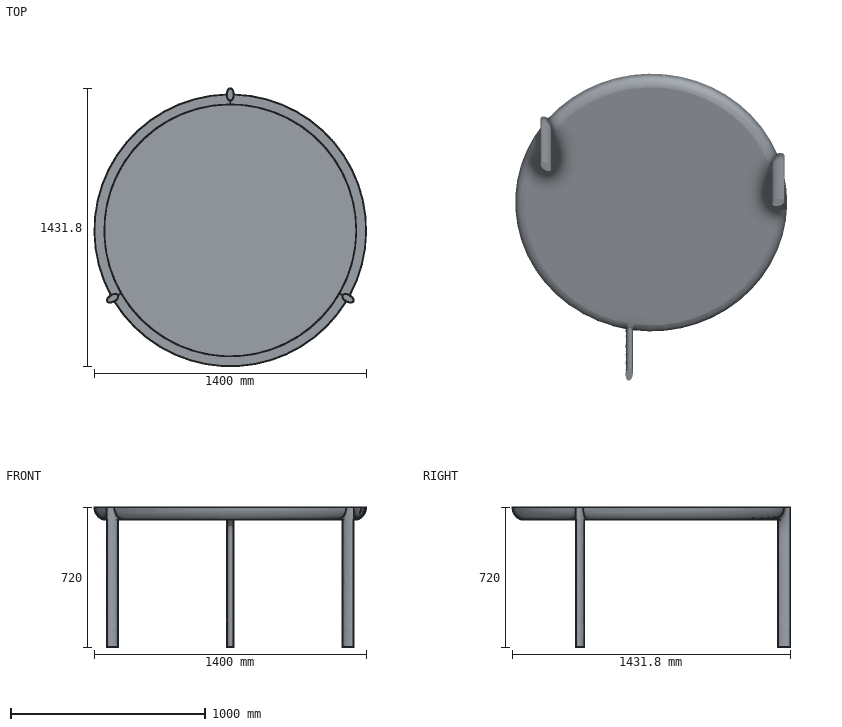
import cadquery as cq
import math

TOP_Z = 720.0
TABLE_RADIUS = 700.0
TABLE_THICKNESS = 65.0
UNDERSIDE_Z = TOP_Z - TABLE_THICKNESS
PANEL_RADIUS = 1296.0 / 2
UNDERSIDE_RADIUS = PANEL_RADIUS

EDGE_OVERHANG = TABLE_RADIUS - UNDERSIDE_RADIUS
EDGE_RADIUS = (EDGE_OVERHANG**2 + TABLE_THICKNESS**2) / (2 * EDGE_OVERHANG)

SEAM_WIDTH = 1.0
SEAM_DEPTH = 1.0

LEG_COUNT = 3
LEG_DEPTH = 63.6
LEG_WIDTH = 35.6
FIRST_LEG_ANGLE = 90.0
LEG_CENTRE_RADIUS = TABLE_RADIUS

BLOCK_WIDTH = 29.0
BLOCK_HEIGHT = TABLE_THICKNESS / 2
BLOCK_INNER_RADIUS = UNDERSIDE_RADIUS


def place_at_leg(shape, index):
    """Turn a shape built along +X to the direction of the numbered leg."""
    angle = FIRST_LEG_ANGLE + index * 360.0 / LEG_COUNT
    return shape.rotate((0, 0, 0), (0, 0, 1), angle)


def make_table_top():
    """Solid disc with an arc from its rim, upright there, in to the flat underside."""
    arc_centre_radius = TABLE_RADIUS - EDGE_RADIUS
    half_sweep = math.asin(TABLE_THICKNESS / EDGE_RADIUS) / 2
    arc_middle = (
        arc_centre_radius + EDGE_RADIUS * math.cos(half_sweep),
        TOP_Z - EDGE_RADIUS * math.sin(half_sweep),
    )
    profile = (
        cq.Workplane("XZ")
        .moveTo(0, UNDERSIDE_Z)
        .lineTo(UNDERSIDE_RADIUS, UNDERSIDE_Z)
        .threePointArc(arc_middle, (TABLE_RADIUS, TOP_Z))
        .lineTo(0, TOP_Z)
        .close()
    )
    return profile.revolve(360, (0, 0, 0), (0, 1, 0))


def make_leg():
    """Upright elliptical leg centred on the table edge, long axis radial."""
    return (
        cq.Workplane("XY")
        .center(LEG_CENTRE_RADIUS, 0)
        .ellipse(LEG_DEPTH / 2, LEG_WIDTH / 2)
        .extrude(TOP_Z)
    )


def make_leg_block():
    """Block between the leg and the underside, level with the underside."""
    length = LEG_CENTRE_RADIUS - BLOCK_INNER_RADIUS
    return (
        cq.Workplane("XY")
        .box(length, BLOCK_WIDTH, BLOCK_HEIGHT, centered=(False, True, False))
        .translate((BLOCK_INNER_RADIUS, 0, UNDERSIDE_Z))
    )


def make_panel_seam():
    """Ring groove between the centre panel and the border."""
    return (
        cq.Workplane("XY")
        .workplane(offset=TOP_Z)
        .circle(PANEL_RADIUS + SEAM_WIDTH)
        .circle(PANEL_RADIUS)
        .extrude(-SEAM_DEPTH)
    )


def make_leg_seam():
    """Clearance cut around the leg; the leg fills all but a fine groove."""
    return (
        cq.Workplane("XY")
        .workplane(offset=TOP_Z)
        .center(LEG_CENTRE_RADIUS, 0)
        .ellipse(LEG_DEPTH / 2 + SEAM_WIDTH, LEG_WIDTH / 2 + SEAM_WIDTH)
        .extrude(-SEAM_DEPTH)
    )


def make_border_joint():
    """Radial groove across the border, from the panel seam to the leg."""
    length = LEG_CENTRE_RADIUS - LEG_DEPTH / 2 - PANEL_RADIUS
    return (
        cq.Workplane("XY")
        .box(length, SEAM_WIDTH, SEAM_DEPTH, centered=(False, True, False))
        .translate((PANEL_RADIUS, 0, TOP_Z - SEAM_DEPTH))
    )


table = make_table_top().cut(make_panel_seam())
for leg_index in range(LEG_COUNT):
    table = table.cut(place_at_leg(make_leg_seam(), leg_index))
    table = table.cut(place_at_leg(make_border_joint(), leg_index))
    table = table.union(place_at_leg(make_leg_block(), leg_index))
    table = table.union(place_at_leg(make_leg(), leg_index))

result = table